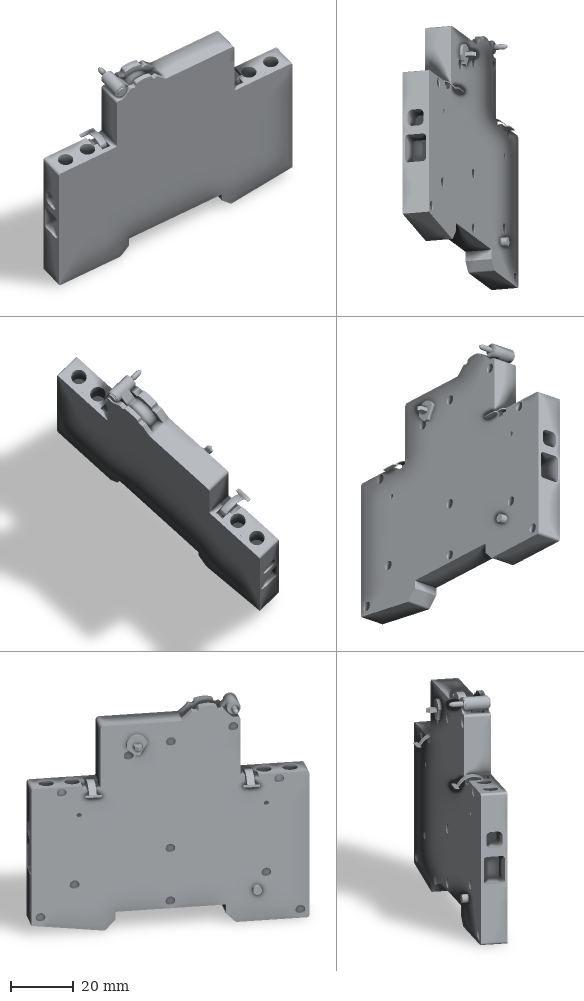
import cadquery as cq
import math

THICKNESS = 8.8
PROTRUSION = 4.4
HALF_LENGTH = 44.9
OVERALL_HEIGHT = 75.44
SHOULDER_Z = 50.0
TOWER_HALF = 22.6
TOWER_Z = 70.0
CORNER_R = 0.8
TOWER_BACK_R = 1.1
TOWER_FOOT_R = 0.6
PICK_MARGIN = 0.1

RAIL_Z = 6.2
RAIL_BACK_Y = 17.7
RAIL_FRONT_Y = -18.0
BACK_HOOK_Z = 3.5
FRONT_HOOK_Z = 3.1
BACK_END_Z = 3.3
HOOK_R = 1.0

HUMP_Y = -12.1
HUMP_CROWN_TOP_Z = 74.65
HUMP_FOOT = (8.28, TOWER_Z)
HUMP_FOOT_MID = (7.45, 70.59)
HUMP_FLANK = (6.7, 71.3)
HUMP_LEDGE = (5.05, 72.95)
HUMP_DIP_START = (4.5, 72.95)
HUMP_DIP_MID = (3.8, 72.7)
HUMP_DIP_END = (3.1, 73.5)
HUMP_CROWN_SIDE = (3.0, 73.95)
HUMP_CROWN_EDGE = (2.75, 74.2)

SLOT_X_MIN = 2.55
SLOT_X_MAX = 7.2
SLOT_DEPTH = 4.0
SLOT_END_ANGLE = 40
DRUM_R = 5.8
DRUM_Z = 66.4
NECK_X_MIN = 3.15
NECK_X_MAX = 6.62
NECK_ROOT_Y = -14.0
NECK_TOP_Z = 71.55
NECK_TOE_Z = 70.3
BARREL_Y = -20.57
BARREL_R = 2.2
BARREL_Z = OVERALL_HEIGHT - BARREL_R
BARREL_X_MIN = 0.3
BARREL_X_MAX = 8.05
BARREL_STEP = 0.2
BARREL_STEP_LENGTH = 0.3
PIN_R = 0.87
PIN_TIP_R = 0.4
PIN_TIP_LENGTH = 1.0
PIN_HEAD_R = 1.5

RECESS_R = 1.55
RECESS_DEPTH = 1.2
RECESS_POINTS = [
    (-20.3, 66.9), (-0.15, 63.1), (13.5, 59.3),
    (35.15, 48.1), (-35.15, 48.1),
    (0, 26.7), (31.0, 16.35), (-31.0, 16.35), (0, 8.7),
    (42.0, 5.9), (-42.0, 2.85),
]
SMALL_RECESS_R = 0.8
SMALL_RECESS_POINTS = [(29.5, 40.0), (-31.0, 40.0)]

STUD_R = 1.4
STUD_LENGTH = 2.2
STUD_Y = -27.8
STUD_Z = 11.05

CAM_HEIGHT = 1.1
CAM_TOP = (10.95, 66.5)
CAM_FRONT = (7.6, 63.9)
CAM_BACK = (14.2, 62.2)
CAM_BOTTOM_FRONT = (10.05, 59.75)
CAM_BOTTOM_BACK = (12.2, 59.75)
BLADE_Y = 10.95
BLADE_WIDTH = 2.3
BLADE_THICKNESS = 1.25
BLADE_Z = 63.0
BLADE_TIP_LENGTH = 1.0

SCREW_HOLE_R = 2.45
SCREW_HOLE_X = 4.47
SCREW_HOLE_DEPTH = 8.0
SCREW_HOLE_Y = [31.0, 39.4]
WIRE_DEPTH = 8.0
WIRE_X = 4.45
SMALL_WIRE = {"width": 5.3, "height": 5.35, "z": 34.6, "radius": 1.6}
LARGE_WIRE = {"width": 6.9, "height": 9.05, "z": 24.6, "radius": 1.0}
SLIT_X = 7.5
SLIT_Y = 35.2
SLIT_WIDTH = 0.12
SLIT_LENGTH = 0.5

CLIP_Y = 25.55
CLIP_RECESS_X = 4.2
CLIP_RECESS_END_Y = 28.5
CLIP_RECESS_DEPTH = 1.1
CLIP_SLOT_X = 7.3
CLIP_SLOT_WIDTH = 2.95
CLIP_SLOT_DEPTH = 1.85
CLIP_WIDTH = 2.45
CLIP_THICKNESS = 0.3
CLIP_ROOT_X = 6.2
CLIP_BEND_X = 5.4
CLIP_CREST_X = 2.8
CLIP_CREST_Z = SHOULDER_Z + 0.9
CLIP_FALL_X = -1.7
CLIP_FALL_Z = 49.4
CLIP_FOOT_WIDTH = 5.5
CLIP_FOOT_LENGTH = 1.4
CLIP_FOOT_R = 0.5
CLIP_FOOT_Z = 47.5


def box(x_min, x_max, y_min, y_max, z_min, z_max):
    size = (x_max - x_min, y_max - y_min, z_max - z_min)
    return cq.Workplane("XY").box(*size, centered=False).translate((x_min, y_min, z_min))


def rod(radius, x_min, x_max, y, z):
    """Cylinder along X."""
    return cq.Workplane("YZ", origin=(x_min, y, z)).circle(radius).extrude(x_max - x_min)


def fillet_along_x(body, radius, corners):
    """Round the X-direction edges that pass through the given (y, z) corners."""
    for y, z in corners:
        low = (-PICK_MARGIN, y - PICK_MARGIN, z - PICK_MARGIN)
        high = (THICKNESS + PICK_MARGIN, y + PICK_MARGIN, z + PICK_MARGIN)
        near = cq.selectors.BoxSelector(low, high)
        body = body.edges("|X").edges(near).fillet(radius)
    return body


def make_housing():
    back_hook_y = RAIL_BACK_Y + BACK_HOOK_Z
    front_hook_y = RAIL_FRONT_Y - FRONT_HOOK_Z
    outline = [
        (-HALF_LENGTH, 0), (-HALF_LENGTH, SHOULDER_Z),
        (-TOWER_HALF, SHOULDER_Z), (-TOWER_HALF, TOWER_Z),
        (TOWER_HALF, TOWER_Z), (TOWER_HALF, SHOULDER_Z),
        (HALF_LENGTH, SHOULDER_Z), (HALF_LENGTH, BACK_END_Z),
        (back_hook_y, 0), (RAIL_BACK_Y, BACK_HOOK_Z), (RAIL_BACK_Y, RAIL_Z),
        (RAIL_FRONT_Y, RAIL_Z), (RAIL_FRONT_Y, FRONT_HOOK_Z), (front_hook_y, 0),
    ]
    housing = cq.Workplane("YZ").polyline(outline).close().extrude(THICKNESS)
    outer_corners = [(-HALF_LENGTH, 0), (-TOWER_HALF, TOWER_Z)]
    foot_corners = []
    for side in (-1, 1):
        outer_corners.append((side * HALF_LENGTH, SHOULDER_Z))
        foot_corners.append((side * TOWER_HALF, SHOULDER_Z))
    housing = fillet_along_x(housing, CORNER_R, outer_corners)
    housing = fillet_along_x(housing, TOWER_BACK_R, [(TOWER_HALF, TOWER_Z)])
    housing = fillet_along_x(housing, TOWER_FOOT_R, foot_corners)
    return fillet_along_x(housing, HOOK_R, [(back_hook_y, 0), (front_hook_y, 0)])


def make_hump():
    """Symmetrical hump with a shallow round dip on either side of an arched crown."""
    def back(point):
        return (HUMP_Y + point[0], point[1])

    def front(point):
        return (HUMP_Y - point[0], point[1])

    return (
        cq.Workplane("YZ").moveTo(*back(HUMP_FOOT))
        .threePointArc(back(HUMP_FOOT_MID), back(HUMP_FLANK))
        .lineTo(*back(HUMP_LEDGE)).lineTo(*back(HUMP_DIP_START))
        .threePointArc(back(HUMP_DIP_MID), back(HUMP_DIP_END))
        .lineTo(*back(HUMP_CROWN_SIDE)).lineTo(*back(HUMP_CROWN_EDGE))
        .threePointArc((HUMP_Y, HUMP_CROWN_TOP_Z), front(HUMP_CROWN_EDGE))
        .lineTo(*front(HUMP_CROWN_SIDE)).lineTo(*front(HUMP_DIP_END))
        .threePointArc(front(HUMP_DIP_MID), front(HUMP_DIP_START))
        .lineTo(*front(HUMP_LEDGE)).lineTo(*front(HUMP_FLANK))
        .threePointArc(front(HUMP_FOOT_MID), front(HUMP_FOOT))
        .close().extrude(THICKNESS)
    )


def make_toggle_slot():
    """Slot along Y through the hump, with ends sloping inward below the tower top."""
    slot_half = HUMP_FOOT[0]
    floor_half = slot_half - SLOT_DEPTH / math.tan(math.radians(SLOT_END_ANGLE))
    floor_z = TOWER_Z - SLOT_DEPTH
    outline = [
        (HUMP_Y + slot_half, OVERALL_HEIGHT), (HUMP_Y + slot_half, TOWER_Z),
        (HUMP_Y + floor_half, floor_z), (HUMP_Y - floor_half, floor_z),
        (HUMP_Y - slot_half, TOWER_Z), (HUMP_Y - slot_half, OVERALL_HEIGHT),
    ]
    plane = cq.Workplane("YZ", origin=(SLOT_X_MIN, 0, 0))
    return plane.polyline(outline).close().extrude(SLOT_X_MAX - SLOT_X_MIN)


def make_toggle():
    drum = rod(DRUM_R, SLOT_X_MIN, SLOT_X_MAX, HUMP_Y, DRUM_Z)

    tangent = BARREL_R * math.sqrt(0.5)
    upper_y = BARREL_Y + tangent
    upper_z = BARREL_Z + tangent
    neck_outline = [
        (upper_y, upper_z), (upper_y + upper_z - NECK_TOP_Z, NECK_TOP_Z),
        (NECK_ROOT_Y, NECK_TOP_Z), (NECK_ROOT_Y, NECK_TOE_Z), (BARREL_Y, NECK_TOE_Z),
        (BARREL_Y - tangent, BARREL_Z - tangent),
    ]
    neck = (
        cq.Workplane("YZ", origin=(NECK_X_MIN, 0, 0))
        .polyline(neck_outline).close().extrude(NECK_X_MAX - NECK_X_MIN)
    )

    barrel = rod(BARREL_R, BARREL_X_MIN, BARREL_X_MAX, BARREL_Y, BARREL_Z)
    end_r = BARREL_R - BARREL_STEP
    core_start = BARREL_X_MIN - BARREL_STEP_LENGTH
    core_end = BARREL_X_MAX + BARREL_STEP_LENGTH
    core = rod(end_r, core_start, core_end, BARREL_Y, BARREL_Z)
    head = rod(PIN_HEAD_R, BARREL_X_MAX, THICKNESS, BARREL_Y, BARREL_Z)
    shaft_profile = [
        (-PROTRUSION, 0), (-PROTRUSION, PIN_TIP_R), (PIN_TIP_LENGTH - PROTRUSION, PIN_R),
        (THICKNESS, PIN_R), (THICKNESS, 0),
    ]
    pin = (
        cq.Workplane("XY").polyline(shaft_profile).close()
        .revolve(360, (0, 0, 0), (1, 0, 0)).translate((0, BARREL_Y, BARREL_Z))
    )
    return drum.union(neck).union(barrel).union(core).union(head).union(pin)


def make_cam():
    """Drop-shaped plate with a blade that narrows to a point."""
    plate = (
        cq.Workplane("YZ").moveTo(*CAM_FRONT).threePointArc(CAM_TOP, CAM_BACK)
        .lineTo(*CAM_BOTTOM_BACK).lineTo(*CAM_BOTTOM_FRONT)
        .close().extrude(-CAM_HEIGHT)
    )
    half_width = BLADE_WIDTH / 2
    shoulder_x = BLADE_TIP_LENGTH - PROTRUSION
    blade_outline = [
        (0, BLADE_Y - half_width), (shoulder_x, BLADE_Y - half_width), (-PROTRUSION, BLADE_Y),
        (shoulder_x, BLADE_Y + half_width), (0, BLADE_Y + half_width),
    ]
    blade = (
        cq.Workplane("XY", origin=(0, 0, BLADE_Z - BLADE_THICKNESS / 2))
        .polyline(blade_outline).close().extrude(BLADE_THICKNESS)
    )
    return plate.union(blade)


def make_face_recesses():
    recesses = (
        cq.Workplane("YZ", origin=(-CAM_HEIGHT, 0, 0)).pushPoints(RECESS_POINTS)
        .circle(RECESS_R).extrude(CAM_HEIGHT + RECESS_DEPTH)
    )
    small = (
        cq.Workplane("YZ").pushPoints(SMALL_RECESS_POINTS)
        .circle(SMALL_RECESS_R).extrude(RECESS_DEPTH)
    )
    return recesses.union(small)


def make_wire_opening(opening):
    """Rounded rectangular pocket running in from the -Y end."""
    return (
        cq.Workplane("XZ", origin=(WIRE_X, WIRE_DEPTH - HALF_LENGTH, opening["z"]))
        .rect(opening["width"], opening["height"]).extrude(WIRE_DEPTH)
        .edges("|Y").fillet(opening["radius"])
    )


def make_terminal_cuts():
    """Screw holes, wire openings and marking slit of the terminals at the -Y end."""
    cuts = make_wire_opening(SMALL_WIRE).union(make_wire_opening(LARGE_WIRE))
    for y in SCREW_HOLE_Y:
        hole = (
            cq.Workplane("XY", origin=(SCREW_HOLE_X, -y, SHOULDER_Z))
            .circle(SCREW_HOLE_R).extrude(-SCREW_HOLE_DEPTH)
        )
        cuts = cuts.union(hole)
    slit = cq.Workplane("XY").box(SLIT_WIDTH, SLIT_LENGTH, SLIT_LENGTH)
    return cuts.union(slit.translate((SLIT_X, -SLIT_Y, SHOULDER_Z)))


def make_clip_cuts(recess_start_y):
    """Slot for the -Y clip and the shallow recess that runs outward from recess_start_y."""
    above = SHOULDER_Z + TOWER_FOOT_R
    recess_z = SHOULDER_Z - CLIP_RECESS_DEPTH
    recess = box(0, CLIP_RECESS_X, -CLIP_RECESS_END_Y, recess_start_y, recess_z, above)
    half_slot = CLIP_SLOT_WIDTH / 2
    slot_z = SHOULDER_Z - CLIP_SLOT_DEPTH
    slot = box(0, CLIP_SLOT_X, -CLIP_Y - half_slot, -CLIP_Y + half_slot, slot_z, above)
    return recess.union(slot)


def make_clip():
    """Bent strip that stands in the slot at the -Y side and ends in a wide foot outside."""
    t = CLIP_THICKNESS
    foot_x = CLIP_FOOT_LENGTH - PROTRUSION
    foot_top = CLIP_FOOT_Z + t
    floor_z = SHOULDER_Z - CLIP_SLOT_DEPTH
    upper_side = [
        (foot_x, foot_top), (CLIP_FALL_X, CLIP_FALL_Z), (0, CLIP_CREST_Z - t),
        (CLIP_CREST_X, CLIP_CREST_Z), (CLIP_BEND_X, SHOULDER_Z),
    ]
    lower_side = [(x, z - t) for x, z in reversed(upper_side)]
    strip = (
        cq.Workplane("XZ", origin=(0, CLIP_WIDTH / 2 - CLIP_Y, 0))
        .moveTo(*upper_side[0]).spline(upper_side[1:], includeCurrent=True)
        .lineTo(CLIP_ROOT_X, floor_z).lineTo(CLIP_ROOT_X - t, floor_z).lineTo(*lower_side[0])
        .spline(lower_side[1:], includeCurrent=True)
        .close().extrude(CLIP_WIDTH)
    )
    half_foot = CLIP_FOOT_WIDTH / 2
    foot = box(-PROTRUSION, foot_x, -CLIP_Y - half_foot, -CLIP_Y + half_foot, CLIP_FOOT_Z, foot_top)
    foot = foot.edges("|Z and <X").fillet(CLIP_FOOT_R)
    return strip.union(foot)


def both_ends(feature):
    """The feature together with its mirror image at the +Y end."""
    return feature.union(feature.mirror("XZ"))


housing = make_housing().union(make_hump()).cut(make_toggle_slot())
housing = housing.cut(both_ends(make_terminal_cuts()))
housing = housing.cut(make_clip_cuts(-CLIP_Y))
housing = housing.cut(make_clip_cuts(-TOWER_HALF).mirror("XZ"))
stud = rod(STUD_R, -STUD_LENGTH, 0, STUD_Y, STUD_Z)
result = housing.union(make_toggle()).union(make_cam()).union(stud)
result = result.cut(make_face_recesses()).union(both_ends(make_clip()))